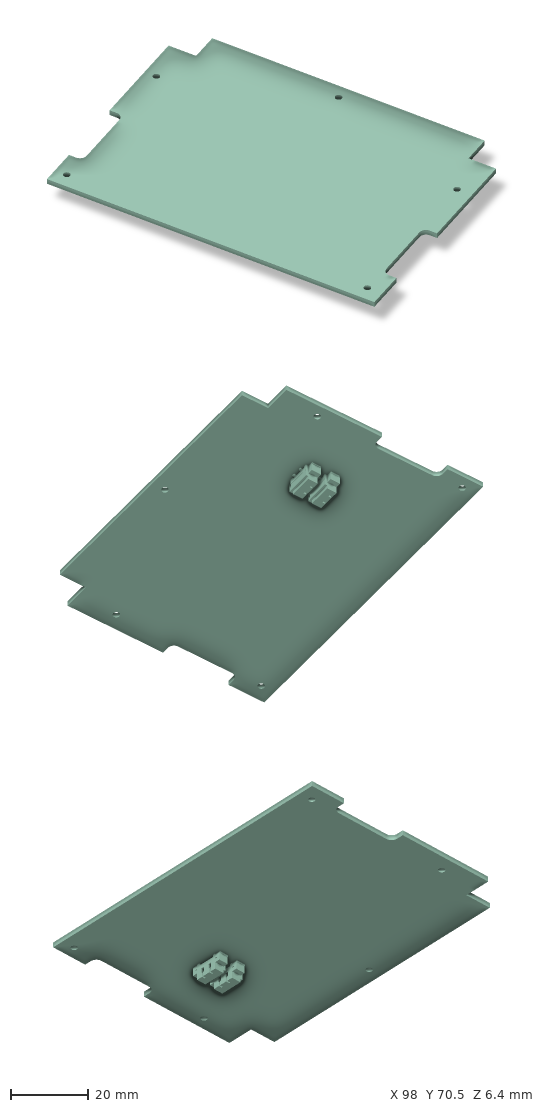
import cadquery as cq

BOARD_LENGTH = 98.0
BOARD_WIDTH = 70.5
BOARD_THICKNESS = 1.6
TOTAL_HEIGHT = 6.4

CORNER_NOTCH = 8.2

SIDE_NOTCH_DEPTH = 4.1
SIDE_NOTCH_START = 11.3
SIDE_NOTCH_WIDTH = 20.8
SIDE_NOTCH_RADIUS = 2.0

HOLE_DIAMETER = 2.0
HOLE_LEFT_X = 3.5
HOLE_RIGHT_X = 93.5
HOLE_LOW_Y = 4.1
HOLE_HIGH_Y = 50.0
HOLE_TOP_X = 48.4
HOLE_TOP_Y = 66.5

CONNECTOR_CENTER_X = 23.1
CONNECTOR_FRONT_Y = 32.4
CONNECTOR_PITCH = 6.0
CONNECTOR_COUNT = 2
CONNECTOR_HEIGHT = TOTAL_HEIGHT - BOARD_THICKNESS

BODY_LENGTH = 6.9
BODY_DEPTH = 2.9
BACK_DEPTH = 0.7
BACK_HEIGHT = 3.7
RIB_DEPTH = 0.1
RIB_HEIGHT = 1.7

UNDERCUT_LENGTH = 5.1
UNDERCUT_HEIGHT = 0.7

EAR_LENGTH = 1.6
EAR_BOTTOM = 2.7
SOCKET_LENGTH = 0.7
SOCKET_HEIGHT = 0.3
SOCKET_TOP = 1.4
POCKET_DEPTH = 1.0

FOOT_THICKNESS = 0.5
FOOT_SETBACK = 0.2
FOOT_OVERHANG = 0.1
TAIL_LENGTH = 0.6
TAIL_WIDTH = 0.6

CONTACT_PITCH = 2.7
WINDOW_WIDTH = 1.1
WINDOW_TOP = 2.1
WINDOW_HEIGHT = 1.4
SLOT_WIDTH = 0.4


def box(x_start, x_end, y_start, y_end, z_start, z_end):
    """Box between the given limits."""
    size = (x_end - x_start, y_end - y_start, z_end - z_start)
    return cq.Workplane("XY").box(*size, centered=False).translate((x_start, y_start, z_start))


def side_notch():
    """Bay cutter for the X = 0 side, with rounded inner corners."""
    notch_end = SIDE_NOTCH_START + SIDE_NOTCH_WIDTH
    notch = box(-SIDE_NOTCH_DEPTH, SIDE_NOTCH_DEPTH, SIDE_NOTCH_START, notch_end, 0, BOARD_THICKNESS)
    return notch.edges("|Z and >X").fillet(SIDE_NOTCH_RADIUS)


def make_board():
    board = box(0, BOARD_LENGTH, 0, BOARD_WIDTH, 0, BOARD_THICKNESS)
    step_y = BOARD_WIDTH - CORNER_NOTCH
    corner = box(0, CORNER_NOTCH, step_y, BOARD_WIDTH, 0, BOARD_THICKNESS)
    mid_x = BOARD_LENGTH / 2
    for cutter in (corner, side_notch()):
        board = board.cut(cutter).cut(cutter.mirror("YZ", (mid_x, 0, 0)))
    hole_places = [
        (HOLE_LEFT_X, HOLE_LOW_Y),
        (HOLE_RIGHT_X, HOLE_LOW_Y),
        (HOLE_LEFT_X, HOLE_HIGH_Y),
        (HOLE_RIGHT_X, HOLE_HIGH_Y),
        (HOLE_TOP_X, HOLE_TOP_Y),
    ]
    holes = cq.Workplane("XY").pushPoints(hole_places).circle(HOLE_DIAMETER / 2).extrude(BOARD_THICKNESS)
    return board.cut(holes)


def connector_body():
    """Stepped housing, centred on X = 0 with its -Y face at Y = 0."""
    half = BODY_LENGTH / 2
    back = BODY_DEPTH + BACK_DEPTH
    body = box(-half, half, 0, BODY_DEPTH, -CONNECTOR_HEIGHT, 0)
    body = body.union(box(-half, half, 0, back, -BACK_HEIGHT, 0))
    body = body.union(box(-half, half, 0, back + RIB_DEPTH, -RIB_HEIGHT, 0))
    undercut_half = UNDERCUT_LENGTH / 2
    undercut = box(-undercut_half, undercut_half, 0, BODY_DEPTH, -UNDERCUT_HEIGHT, 0)
    back_gap = box(-undercut_half, undercut_half, BODY_DEPTH, back + RIB_DEPTH, -FOOT_THICKNESS, 0)
    return body.cut(undercut).cut(back_gap)


def connector_ear():
    """Ear at the +X end, with its socket and the solder foot above it."""
    inner = BODY_LENGTH / 2
    outer = inner + EAR_LENGTH
    ear = box(inner, outer, 0, BODY_DEPTH, -EAR_BOTTOM, -FOOT_THICKNESS)
    foot = box(inner, outer + FOOT_OVERHANG, FOOT_SETBACK, BODY_DEPTH, -FOOT_THICKNESS, 0)
    socket_bottom = -SOCKET_TOP - SOCKET_HEIGHT
    socket = box(inner, inner + SOCKET_LENGTH, 0, POCKET_DEPTH, socket_bottom, -SOCKET_TOP)
    return ear.union(foot).cut(socket)


def contact_window(x):
    """Keyhole recess in the -Y face: a window with a slot down to the tip."""
    window_bottom = -WINDOW_TOP - WINDOW_HEIGHT
    window = box(x - WINDOW_WIDTH / 2, x + WINDOW_WIDTH / 2, 0, POCKET_DEPTH, window_bottom, -WINDOW_TOP)
    slot = box(x - SLOT_WIDTH / 2, x + SLOT_WIDTH / 2, 0, POCKET_DEPTH, -CONNECTOR_HEIGHT, window_bottom)
    return window.union(slot)


def contact_tail(x):
    """Flat tail that fills part of the back gap and leaves the body along the board."""
    end = BODY_DEPTH + BACK_DEPTH + RIB_DEPTH + TAIL_LENGTH
    return box(x - TAIL_WIDTH / 2, x + TAIL_WIDTH / 2, BODY_DEPTH, end, -FOOT_THICKNESS, 0)


def make_connector(front_y):
    ear = connector_ear()
    connector = connector_body().union(ear).union(ear.mirror("YZ"))
    for x in (-CONTACT_PITCH / 2, CONTACT_PITCH / 2):
        connector = connector.cut(contact_window(x)).union(contact_tail(x))
    return connector.translate((CONNECTOR_CENTER_X, front_y, 0))


board = make_board()
connectors = []
for index in range(CONNECTOR_COUNT):
    connectors.append(make_connector(CONNECTOR_FRONT_Y + index * CONNECTOR_PITCH).val())

result = cq.Compound.makeCompound([board.val(), *connectors])